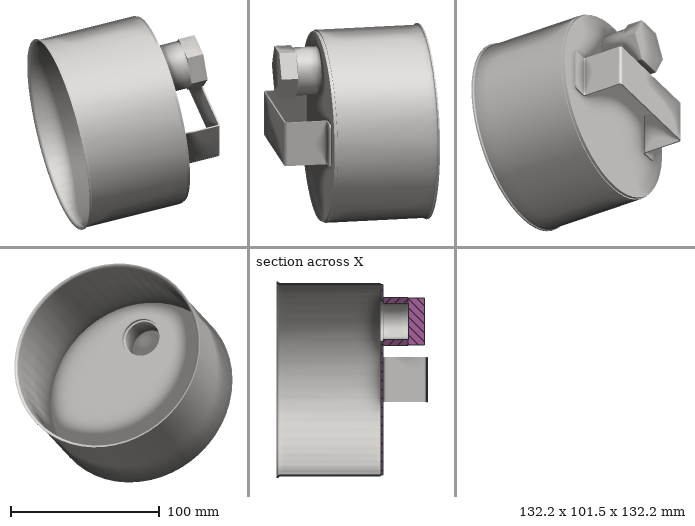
import cadquery as cq
import math

total_length = 101.5

rim_diameter = 132.2
tube_diameter = 130.2
tube_bore = 128.2
tube_length = 69.8

plate_diameter = 128.5
plate_thickness = 2.0
plate_back = tube_length + plate_thickness
plate_hole_diameter = 27.0

port_height = 39.3
sleeve_diameter = 32.5
sleeve_bore = 24.0
sleeve_length = 16.5
sleeve_chamfer = 0.33
cap_across_flats = 31.9
cap_length = 11.4

sheet_thickness = 1.0
handle_width = 30.3
handle_span = 79.8
foot_end_span = 102.3
foot_corner_radius = 2.4
outer_bend_radius = 2.0


def cylinder(diameter, start, length, height=0.0):
    """Cylinder along +Y from Y = start, with its axis at Z = height."""
    plane = cq.Workplane("XZ", origin=(0, start, height))
    return plane.circle(diameter / 2).extrude(-length)


def make_tube():
    """Revolve the tube wall, with the quarter-round bend of the rim."""
    rim_radius = rim_diameter / 2
    outer_radius = tube_diameter / 2
    inner_radius = tube_bore / 2
    inside_bend = rim_radius - outer_radius
    outside_bend = rim_radius - inner_radius
    rim_thickness = outside_bend - inside_bend
    diagonal = math.sqrt(0.5)
    inside_middle = (rim_radius - inside_bend * diagonal, outside_bend - inside_bend * diagonal)
    outside_middle = (rim_radius - outside_bend * diagonal, outside_bend * (1 - diagonal))
    return (
        cq.Workplane("XY")
        .moveTo(rim_radius, 0)
        .lineTo(rim_radius, rim_thickness)
        .threePointArc(inside_middle, (outer_radius, outside_bend))
        .lineTo(outer_radius, tube_length)
        .lineTo(inner_radius, tube_length)
        .lineTo(inner_radius, outside_bend)
        .threePointArc(outside_middle, (rim_radius, 0))
        .close()
        .revolve(360, (0, 0, 0), (0, 1, 0))
    )


def make_back_plate():
    """Round plate with a through hole for the port."""
    plate = cylinder(plate_diameter, tube_length, plate_thickness)
    return plate.cut(cylinder(plate_hole_diameter, tube_length, plate_thickness, port_height))


def make_sleeve():
    """Short pipe on the back plate, chamfered on all four end edges."""
    sleeve = cylinder(sleeve_diameter, plate_back, sleeve_length, port_height)
    sleeve = sleeve.cut(cylinder(sleeve_bore, plate_back, sleeve_length, port_height))
    return sleeve.faces("<Y or >Y").edges().chamfer(sleeve_chamfer)


def make_cap():
    """Solid hexagonal cap closing the sleeve, with two flats facing up and down."""
    across_corners = cap_across_flats / math.cos(math.pi / 6)
    plane = cq.Workplane("XZ", origin=(0, plate_back + sleeve_length, port_height))
    return plane.polygon(6, across_corners).extrude(-cap_length)


def make_handle():
    """Bent strip: two feet on the back plate, two legs and a grip."""
    leg = handle_span / 2
    foot_end = foot_end_span / 2
    inner_bend_radius = outer_bend_radius - sheet_thickness
    inner_leg = leg - sheet_thickness
    foot_top = plate_back + sheet_thickness
    grip_underside = total_length - sheet_thickness
    strip = (
        cq.Workplane("XY", origin=(0, 0, -handle_width / 2))
        .polyline([
            (-foot_end, plate_back),
            (-inner_leg, plate_back),
            (-inner_leg, grip_underside),
            (inner_leg, grip_underside),
            (inner_leg, plate_back),
            (foot_end, plate_back),
            (foot_end, foot_top),
            (leg, foot_top),
            (leg, total_length),
            (-leg, total_length),
            (-leg, foot_top),
            (-foot_end, foot_top),
        ])
        .close()
        .extrude(handle_width)
    )

    def bend_edges(x, y):
        """The pair of straight edges along Z at X = -x and X = x."""
        reach = sheet_thickness / 4
        edges = cq.Workplane("XY").newObject([strip.val()]).edges("|Z")
        right = cq.selectors.BoxSelector(
            (x - reach, y - reach, -handle_width), (x + reach, y + reach, handle_width))
        left = cq.selectors.BoxSelector(
            (-x - reach, y - reach, -handle_width), (-x + reach, y + reach, handle_width))
        return edges.edges(right + left)

    for x, y, radius in [
        (leg, total_length, outer_bend_radius),
        (inner_leg, plate_back, outer_bend_radius),
        (inner_leg, grip_underside, inner_bend_radius),
        (leg, foot_top, inner_bend_radius),
    ]:
        strip = bend_edges(x, y).fillet(radius)
    return strip.faces("<X or >X").edges("|Y").fillet(foot_corner_radius)


tube = make_tube()
back_plate = make_back_plate()
sleeve = make_sleeve()
cap = make_cap()
handle = make_handle()

result = cq.Compound.makeCompound([
    tube.val(),
    back_plate.val(),
    sleeve.val(),
    cap.val(),
    handle.val(),
])